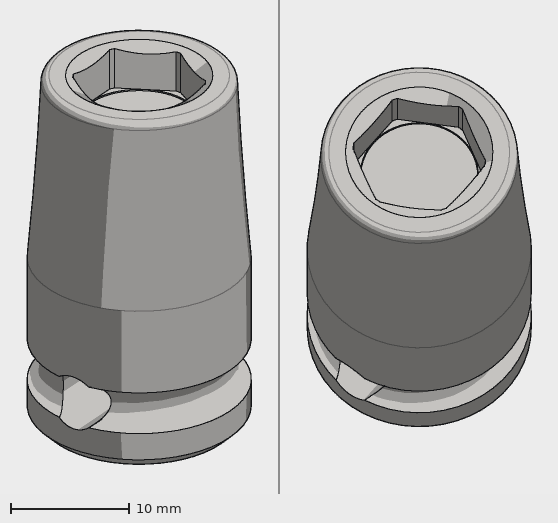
import cadquery as cq
import math

length = 33.0
body_radius = 9.5
nose_radius = 8.35
nose_fillet = 0.7
taper_start_z = 15.4
taper_sag = 0.1
base_chamfer = 1.0

groove_z = 5.5
groove_floor_radius = 7.9
groove_arc_radius = 2.0
cross_hole_diameter = 5.0

hex_across_flats = 10.0
hex_corner_diameter = 11.3
hex_depth = 4.15
mouth_radius = 6.25
mouth_angle = 30.0

magnet_diameter = 9.9
magnet_height = 4.0
magnet_drop = 0.1
seat_diameter = hex_across_flats

hex_floor_z = length - hex_depth
magnet_top_z = hex_floor_z - magnet_drop
magnet_bottom_z = magnet_top_z - magnet_height


def cylinder(diameter, bottom_z, top_z):
    """Upright cylinder on the socket axis."""
    return cq.Workplane("XY").workplane(offset=bottom_z).circle(diameter / 2).extrude(top_z - bottom_z)


def make_outer_shape():
    """Turned blank: chamfered base, straight shank, slightly hollow taper and rounded nose."""
    nose_start_z = length - nose_fillet
    nose_face_radius = nose_radius - nose_fillet
    fillet_offset = nose_fillet * math.sqrt(0.5)
    taper_middle = ((body_radius + nose_radius) / 2 - taper_sag, (taper_start_z + nose_start_z) / 2)
    return (
        cq.Workplane("XZ")
        .lineTo(body_radius - base_chamfer, 0)
        .lineTo(body_radius, base_chamfer)
        .lineTo(body_radius, taper_start_z)
        .threePointArc(taper_middle, (nose_radius, nose_start_z))
        .threePointArc(
            (nose_face_radius + fillet_offset, nose_start_z + fillet_offset),
            (nose_face_radius, length),
        )
        .lineTo(0, length)
        .close()
        .revolve(360, (0, 0), (0, 1))
    )


def make_groove():
    """Ring of circular section around the shank."""
    section_centre = groove_floor_radius + groove_arc_radius
    return (
        cq.Workplane("XZ")
        .center(section_centre, groove_z)
        .circle(groove_arc_radius)
        .revolve(360, (-section_centre, 0), (-section_centre, 1))
    )


def make_cross_hole():
    """Pin hole right through the shank along Y."""
    return (
        cq.Workplane("XZ")
        .center(0, groove_z)
        .circle(cross_hole_diameter / 2)
        .extrude(body_radius, both=True)
    )


def make_hex_recess():
    """Hexagon with two corners on Y, its corners cut back by a cylinder."""
    across_corners = hex_across_flats / math.cos(math.radians(30))
    hexagon = (
        cq.Workplane("XY")
        .workplane(offset=hex_floor_z)
        .polygon(6, across_corners)
        .extrude(hex_depth)
        .rotate((0, 0, 0), (0, 0, 1), 30)
    )
    return hexagon.intersect(cylinder(hex_corner_diameter, hex_floor_z, length))


def make_mouth():
    """Cone that leads into the hexagon, ending at the middle of its flats."""
    end_radius = hex_across_flats / 2
    mouth_depth = (mouth_radius - end_radius) * math.tan(math.radians(mouth_angle))
    return (
        cq.Workplane("XZ")
        .moveTo(0, length)
        .lineTo(mouth_radius, length)
        .lineTo(end_radius, length - mouth_depth)
        .lineTo(0, length - mouth_depth)
        .close()
        .revolve(360, (0, 0), (0, 1))
    )


def make_socket():
    magnet_seat = cylinder(seat_diameter, magnet_bottom_z, hex_floor_z)
    return (
        make_outer_shape()
        .cut(make_groove())
        .cut(make_cross_hole())
        .cut(make_hex_recess())
        .cut(make_mouth())
        .cut(magnet_seat)
    )


def make_magnet():
    return cylinder(magnet_diameter, magnet_bottom_z, magnet_top_z)


socket = make_socket()
magnet = make_magnet()
result = cq.Compound.makeCompound([socket.val(), magnet.val()])